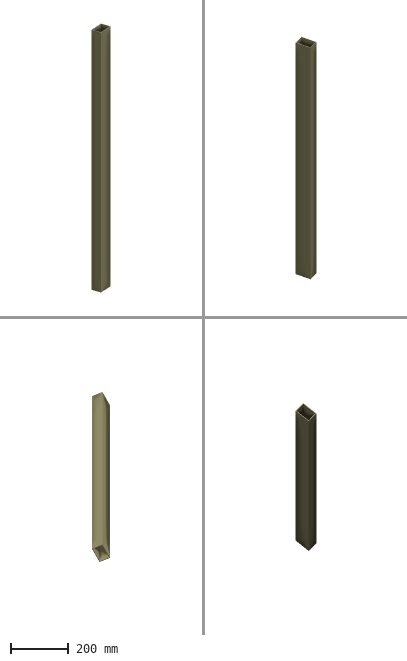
import cadquery as cq

WIDTH = 40.0
DEPTH = 60.0
LENGTH = 1000.0
WALL = 2.0


def make_tube():
    """Square-cornered tube, open at both ends."""
    return (
        cq.Workplane("XY")
        .rect(WIDTH, DEPTH)
        .rect(WIDTH - 2 * WALL, DEPTH - 2 * WALL)
        .extrude(LENGTH)
    )


tube = make_tube()

result = cq.Compound.makeCompound([tube.val()])